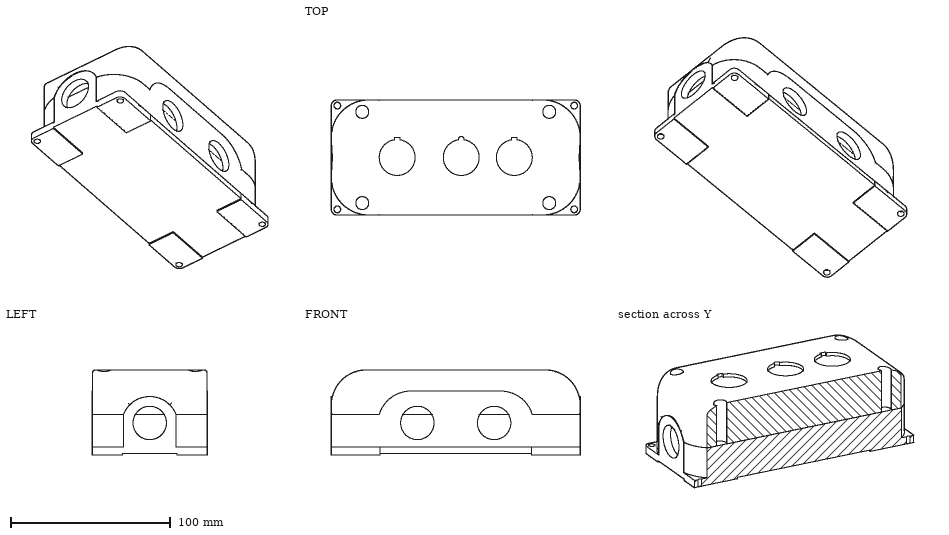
import cadquery as cq
import math

LENGTH = 156.0
WIDTH = 72.2
HEIGHT = 53.4
HALF_LENGTH = LENGTH / 2
HALF_WIDTH = WIDTH / 2

PLATE_TOP = 5.1
PLATE_CORNER_RADIUS = 3.9
MOUNT_HOLE_RADIUS = 2.0
MOUNT_HOLE_X = 74.1
MOUNT_HOLE_Y = 32.5
MIDDLE_EDGE_INSET = 0.2
FOOT_HEIGHT = 1.0
FOOT_GAP_X = 94.5
FOOT_GAP_Y = 34.0

SPLIT_Z = 25.5
CORNER_RADIUS = 23.4
SHOULDER_RADIUS = 21.8
BASE_INSET = 0.08
LID_INSET = 0.2
LID_EDGE_FILLET = 2.2

TONGUE_THICKNESS = 5.3
SIDE_ARCH_TOP = 40.1
SIDE_ARCH_RADIUS = 20.7
SIDE_ARCH_FLAT = 56.2
END_ARCH_TOP = 36.7
END_ARCH_WIDTH = 32.9

KNOCKOUT_RADIUS = 10.5
KNOCKOUT_Z = 20.1
SIDE_KNOCKOUT_X = 24.0
SIDE_KNOCKOUT_DEPTH = 4.7

DEVICE_RADIUS = 11.2
DEVICE_DEPTH = 2.2
SQUARE_KEY_X = (-36.7, 36.7)
ROUND_KEY_X = 3.5
KEY_WIDTH = 3.6
SQUARE_KEY_REACH = 12.6
ROUND_KEY_REACH = 13.1
SCREW_HOLE_RADIUS = 4.0
SCREW_X = 58.5
SCREW_Y = 28.5

FOUR_CORNERS = [(sx, sy) for sx in (-1, 1) for sy in (-1, 1)]


def wall_block(inset, z_low, z_high):
    """Upright block with the rounded plan of the enclosure."""
    block = cq.Workplane("XY").workplane(offset=z_low)
    block = block.rect(LENGTH - 2 * inset, WIDTH - 2 * inset).extrude(z_high - z_low)
    return block.edges("|Z").fillet(CORNER_RADIUS)


def side_tongues():
    """Two flat-crested arches, one inside each long wall."""
    wall_y = BASE_INSET - HALF_WIDTH
    flat_end = SIDE_ARCH_FLAT / 2
    centre_z = SIDE_ARCH_TOP - SIDE_ARCH_RADIUS
    foot_angle = math.asin((SPLIT_Z - centre_z) / SIDE_ARCH_RADIUS)
    foot_x = flat_end + SIDE_ARCH_RADIUS * math.cos(foot_angle)
    mid_angle = (foot_angle + math.pi / 2) / 2
    mid_x = flat_end + SIDE_ARCH_RADIUS * math.cos(mid_angle)
    mid_z = centre_z + SIDE_ARCH_RADIUS * math.sin(mid_angle)
    arch = (
        cq.Workplane("XZ", origin=(0, wall_y + TONGUE_THICKNESS, 0))
        .moveTo(-foot_x, PLATE_TOP)
        .lineTo(-foot_x, SPLIT_Z)
        .threePointArc((-mid_x, mid_z), (-flat_end, SIDE_ARCH_TOP))
        .lineTo(flat_end, SIDE_ARCH_TOP)
        .threePointArc((mid_x, mid_z), (foot_x, SPLIT_Z))
        .lineTo(foot_x, PLATE_TOP)
        .close()
        .extrude(TONGUE_THICKNESS)
    )
    return arch.union(arch.mirror("XZ"))


def end_tongues():
    """Two round-topped pads, one at each end."""
    half = END_ARCH_WIDTH / 2
    arch = (
        cq.Workplane("YZ", origin=(-HALF_LENGTH, 0, 0))
        .moveTo(-half, PLATE_TOP)
        .lineTo(-half, SPLIT_Z)
        .threePointArc((0, END_ARCH_TOP), (half, SPLIT_Z))
        .lineTo(half, PLATE_TOP)
        .close()
        .extrude(TONGUE_THICKNESS)
    )
    return arch.union(arch.mirror("YZ"))


def mounting_plate():
    """Plate with four corner holes, standing on a low foot at each corner."""
    plate = cq.Workplane("XY").rect(LENGTH, WIDTH).extrude(PLATE_TOP)
    plate = plate.edges("|Z").fillet(PLATE_CORNER_RADIUS)
    plate = plate.cut(cq.Workplane("XY").rect(FOOT_GAP_X, WIDTH).extrude(FOOT_HEIGHT))
    plate = plate.cut(cq.Workplane("XY").rect(LENGTH, FOOT_GAP_Y).extrude(FOOT_HEIGHT))
    for side in (-1, 1):
        strip = cq.Workplane("XY").center(0, side * (HALF_WIDTH - MIDDLE_EDGE_INSET / 2))
        plate = plate.cut(strip.rect(FOOT_GAP_X, MIDDLE_EDGE_INSET).extrude(PLATE_TOP))
    corners = [(sx * MOUNT_HOLE_X, sy * MOUNT_HOLE_Y) for sx, sy in FOUR_CORNERS]
    holes = cq.Workplane("XY").pushPoints(corners).circle(MOUNT_HOLE_RADIUS).extrude(PLATE_TOP)
    return plate.cut(holes)


def cable_knockouts():
    """Blind round recesses: two in each long wall and one in each end."""
    wall_y = BASE_INSET - HALF_WIDTH
    side = (
        cq.Workplane("XZ", origin=(0, wall_y + SIDE_KNOCKOUT_DEPTH, 0))
        .pushPoints([(-SIDE_KNOCKOUT_X, KNOCKOUT_Z), (SIDE_KNOCKOUT_X, KNOCKOUT_Z)])
        .circle(KNOCKOUT_RADIUS)
        .extrude(SIDE_KNOCKOUT_DEPTH)
    )
    end = (
        cq.Workplane("YZ", origin=(-HALF_LENGTH, 0, 0))
        .center(0, KNOCKOUT_Z)
        .circle(KNOCKOUT_RADIUS)
        .extrude(TONGUE_THICKNESS)
    )
    return [side, side.mirror("XZ"), end, end.mirror("YZ")]


def make_base(tongues):
    base = mounting_plate().union(wall_block(BASE_INSET, PLATE_TOP, SPLIT_Z))
    for tongue in tongues:
        base = base.union(tongue)
    for knockout in cable_knockouts():
        base = base.cut(knockout)
    return base


def shoulder_block():
    """Block spanning the full width whose top rounds down to both ends."""
    end_x = HALF_LENGTH - LID_INSET
    block = (
        cq.Workplane("XZ", origin=(0, HALF_WIDTH, 0))
        .moveTo(-end_x, SPLIT_Z)
        .lineTo(end_x, SPLIT_Z)
        .lineTo(end_x, HEIGHT)
        .lineTo(-end_x, HEIGHT)
        .close()
        .extrude(WIDTH)
    )
    return block.edges("|Y and >Z").fillet(SHOULDER_RADIUS)


def device_disc(x):
    """Round blind recess in the lid top, without its key notch."""
    floor = cq.Workplane("XY", origin=(x, 0, HEIGHT - DEVICE_DEPTH))
    return floor.circle(DEVICE_RADIUS).extrude(DEVICE_DEPTH)


def key_slot(x, reach):
    """Square-ended notch from the recess centre out towards +Y."""
    floor = cq.Workplane("XY", origin=(x, reach / 2, HEIGHT - DEVICE_DEPTH))
    return floor.rect(KEY_WIDTH, reach).extrude(DEVICE_DEPTH)


def device_knockouts():
    """Three recesses in a row: square-ended notches outside, a round-ended one between."""
    cutters = [device_disc(x).union(key_slot(x, SQUARE_KEY_REACH)) for x in SQUARE_KEY_X]
    tip_radius = KEY_WIDTH / 2
    tip_y = ROUND_KEY_REACH - tip_radius
    tip = cq.Workplane("XY", origin=(ROUND_KEY_X, tip_y, HEIGHT - DEVICE_DEPTH))
    round_key = key_slot(ROUND_KEY_X, tip_y).union(tip.circle(tip_radius).extrude(DEVICE_DEPTH))
    return cutters + [device_disc(ROUND_KEY_X).union(round_key)]


def make_lid(tongues):
    lid = wall_block(LID_INSET, SPLIT_Z, HEIGHT).intersect(shoulder_block())
    lid = lid.edges("|X and >Z and (>Y or <Y)").fillet(LID_EDGE_FILLET)
    for tongue in tongues:
        lid = lid.cut(tongue)
    for knockout in device_knockouts():
        lid = lid.cut(knockout)
    screws = [(sx * SCREW_X, sy * SCREW_Y) for sx, sy in FOUR_CORNERS]
    holes = cq.Workplane("XY").workplane(offset=SPLIT_Z).pushPoints(screws)
    return lid.cut(holes.circle(SCREW_HOLE_RADIUS).extrude(HEIGHT - SPLIT_Z))


all_tongues = [side_tongues(), end_tongues()]
base = make_base(all_tongues)
lid = make_lid(all_tongues)

result = cq.Compound.makeCompound([base.val(), lid.val()])